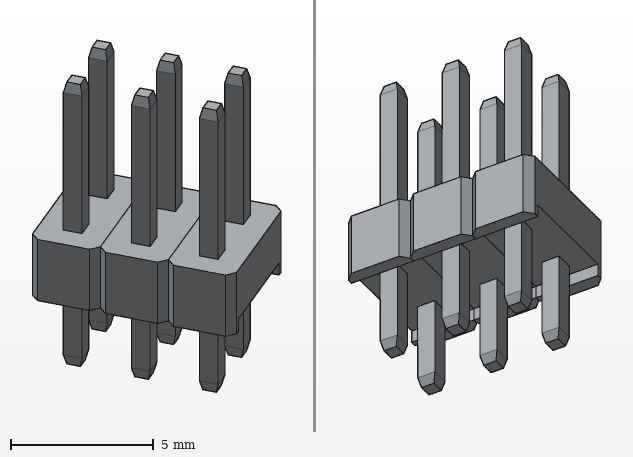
import cadquery as cq

pitch = 2.54
segment_count = 3
pins_per_segment = 2

block_width = pitch
block_length = pins_per_segment * pitch
block_height = 2.5
corner_chamfer = 0.3

channel_depth = 0.5
foot_length = 0.51
channel_length = block_length - 2 * foot_length

pin_total_length = 11.5
pin_below_block = 3.0
pin_side = 0.7
tip_side = 0.51
tip_height = 0.4
shaft_length = pin_total_length - 2 * tip_height


def centred_places(count):
    """Positions one pitch apart, centred on zero."""
    return [(i - (count - 1) / 2) * pitch for i in range(count)]


def make_block():
    """Chamfered block with the channel cut from its underside."""
    block = (
        cq.Workplane("XY")
        .box(block_width, block_length, block_height, centered=(True, True, False))
        .edges("|Z")
        .chamfer(corner_chamfer)
    )
    channel = cq.Workplane("XY").box(
        block_width, channel_length, channel_depth, centered=(True, True, False)
    )
    return block.cut(channel)


def make_pin():
    """Square shaft between two tapered tips, its lower end below the block."""
    shaft = cq.Workplane("XY").box(pin_side, pin_side, shaft_length)
    pin = shaft
    for end_face in (">Z", "<Z"):
        tip = (
            shaft.faces(end_face)
            .workplane()
            .rect(pin_side, pin_side)
            .workplane(offset=tip_height)
            .rect(tip_side, tip_side)
            .loft(combine=False)
        )
        pin = pin.union(tip)
    return pin.translate((0, 0, pin_total_length / 2 - pin_below_block))


def make_segment():
    """One header segment: a block with its column of pins moulded in."""
    segment = make_block()
    pin = make_pin()
    for y in centred_places(pins_per_segment):
        segment = segment.union(pin.translate((0, y, 0)))
    return segment


segment = make_segment()
segments = [segment.translate((x, 0, 0)) for x in centred_places(segment_count)]

result = cq.Compound.makeCompound([placed.solids().val() for placed in segments])